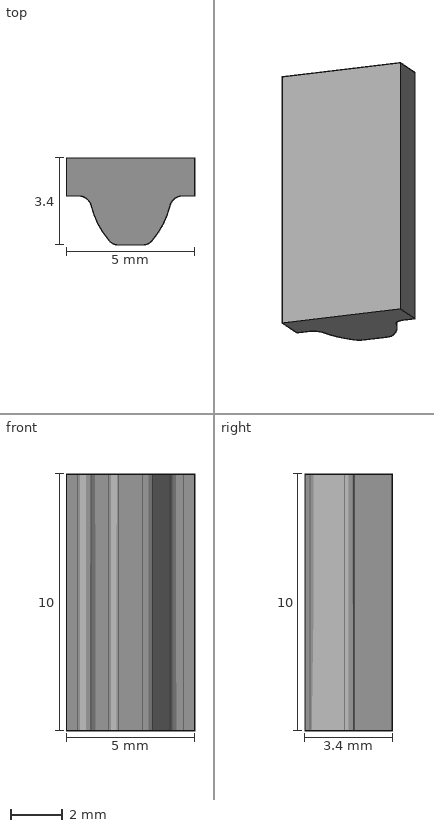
import cadquery as cq
import math

pitch = 5.0
belt_width = 10.0
overall_height = 3.4
backing = 1.49
tooth_height = overall_height - backing

root_radius = 0.5
root_half_width = 2.06

flank_radius = 3.25
flank_half_width = 1.54
flank_depth = 0.37
shoulder_half_width = 0.86
shoulder_depth = 1.71

tip_radius = 0.466
tip_half_width = 0.47

CONVEX = 1
CONCAVE = -1


def arc_middle(start, end, radius, bulge):
    """Middle of the shorter arc from start to end, running down the +X side of the tooth."""
    dx = end[0] - start[0]
    dy = end[1] - start[1]
    chord = math.hypot(dx, dy)
    sagitta = radius - math.sqrt(radius**2 - (chord / 2) ** 2)
    mid_x = (start[0] + end[0]) / 2
    mid_y = (start[1] + end[1]) / 2
    offset = bulge * sagitta / chord
    return (mid_x - offset * dy, mid_y + offset * dx)


def belt_section():
    """Closed section: the +X half is drawn and mirrored about the tooth's centre line."""
    root = (root_half_width, 0)
    flank = (flank_half_width, -flank_depth)
    shoulder = (shoulder_half_width, -shoulder_depth)
    tip = (tip_half_width, -tooth_height)
    return (
        cq.Workplane("XY")
        .moveTo(0, backing)
        .lineTo(pitch / 2, backing)
        .lineTo(pitch / 2, 0)
        .lineTo(*root)
        .threePointArc(arc_middle(root, flank, root_radius, CONCAVE), flank)
        .threePointArc(arc_middle(flank, shoulder, flank_radius, CONVEX), shoulder)
        .threePointArc(arc_middle(shoulder, tip, tip_radius, CONVEX), tip)
        .lineTo(0, -tooth_height)
        .mirrorY()
    )


result = belt_section().extrude(belt_width)